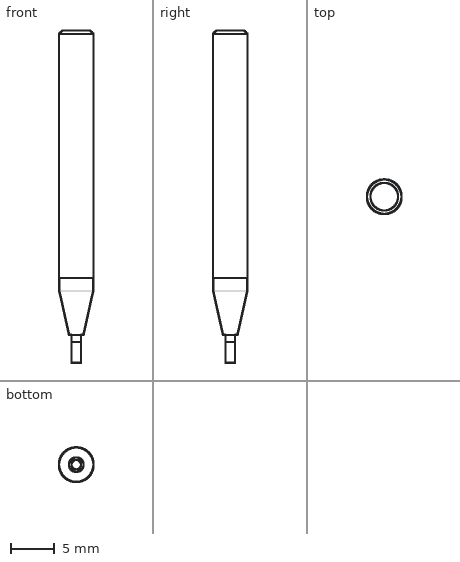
import cadquery as cq

TOTAL_LENGTH = 38.0
SHANK_DIAMETER = 4.0
TIP_DIAMETER = 1.1
NECK_DIAMETER = TIP_DIAMETER
COLLAR_DIAMETER = 3.9
CONE_SMALL_DIAMETER = 1.67

TIP_LENGTH = 2.4
CONE_START = 3.2
CONE_END = 8.2
COLLAR_END = 9.73

CHAMFER_SIZE = 0.4

BOTTOM = -TOTAL_LENGTH / 2
TOP = TOTAL_LENGTH / 2


def make_cutting_tip():
    """Plain cylinder that forms the cutting end."""
    return cq.Workplane("XY", origin=(0, 0, BOTTOM)).circle(TIP_DIAMETER / 2).extrude(TIP_LENGTH)


def make_holder():
    """Neck, cone, collar and chamfered shank, revolved as one solid about Z."""
    neck_radius = NECK_DIAMETER / 2
    cone_radius = CONE_SMALL_DIAMETER / 2
    collar_radius = COLLAR_DIAMETER / 2
    shank_radius = SHANK_DIAMETER / 2
    profile = [
        (0, BOTTOM + TIP_LENGTH),
        (neck_radius, BOTTOM + TIP_LENGTH),
        (neck_radius, BOTTOM + CONE_START),
        (cone_radius, BOTTOM + CONE_START),
        (collar_radius, BOTTOM + CONE_END),
        (collar_radius, BOTTOM + COLLAR_END),
        (shank_radius, BOTTOM + COLLAR_END),
        (shank_radius, TOP - CHAMFER_SIZE),
        (shank_radius - CHAMFER_SIZE, TOP),
        (0, TOP),
    ]
    return cq.Workplane("YZ").polyline(profile).close().revolve(360, (0, 0, 0), (0, 1, 0))


cutting_tip = make_cutting_tip()
holder = make_holder()

result = cq.Compound.makeCompound([cutting_tip.val(), holder.val()])